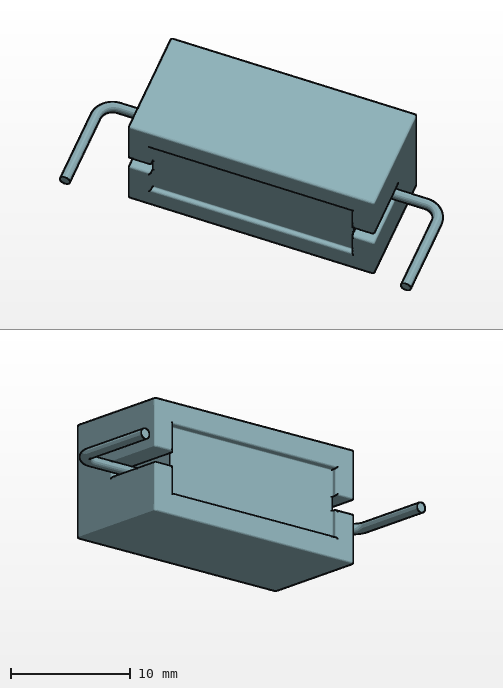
import cadquery as cq

span = 31.38
housing_length = 22.0
housing_height = 10.0
housing_depth = 9.98
wall = 2.0
recess_depth = 0.5
edge_radius = 0.2
recess_floor_radius = 0.1
wire_diameter = 0.9
bend_radius = 1.5
leg_projection = 3.6
slot_height = 1.22
slot_back = 0.5

front_y = -housing_depth / 2
leg_x = (span - wire_diameter) / 2
leg_end_y = front_y - leg_projection
recess_length = housing_length - 2 * wall
recess_height = housing_height - 2 * wall


def block(length, y_min, y_max, height, center_x=0.0):
    """Box centred on Z = 0, spanning y_min to y_max."""
    return cq.Workplane("XY").box(length, y_max - y_min, height).translate((center_x, (y_min + y_max) / 2, 0))


def make_recess():
    """Shape of the front recess, with its floor edges rounded."""
    recess = block(recess_length, front_y, front_y + recess_depth, recess_height)
    return recess.faces(">Y").edges().fillet(recess_floor_radius)


def make_slot(side):
    """Wire slot through one end wall, open to the front face."""
    center_x = side * (housing_length - wall) / 2
    return block(wall, front_y, slot_back, slot_height, center_x)


def make_corner_relief():
    """Band at slot height that leaves the recess floor fillet out where the slots open into the recess."""
    return block(recess_length, front_y, front_y + recess_depth, slot_height)


def make_wire():
    """Straight wire through the housing, with both ends bent forward into legs."""
    bend_x = leg_x - bend_radius
    middle_offset = bend_radius * (1 - 0.5 ** 0.5)
    path = (
        cq.Workplane("XY")
        .moveTo(-leg_x, leg_end_y)
        .lineTo(-leg_x, -bend_radius)
        .threePointArc((-leg_x + middle_offset, -middle_offset), (-bend_x, 0))
        .lineTo(bend_x, 0)
        .threePointArc((leg_x - middle_offset, -middle_offset), (leg_x, -bend_radius))
        .lineTo(leg_x, leg_end_y)
    )
    profile = cq.Workplane("XZ", origin=(-leg_x, leg_end_y, 0)).circle(wire_diameter / 2)
    return profile.sweep(path)


def make_housing():
    """Block with a front recess, an open slot in each end wall and a bore for the wire."""
    housing = block(housing_length, front_y, -front_y, housing_height).cut(make_recess())
    for side in (-1, 1):
        housing = housing.cut(make_slot(side))
    housing = housing.cut(make_corner_relief())
    housing = housing.faces("<X or >X or <Y or >Y or <Z or >Z").edges().fillet(edge_radius)
    bore = cq.Workplane("YZ").circle(wire_diameter / 2).extrude(housing_length / 2, both=True)
    return housing.cut(bore)


housing = make_housing()
wire = make_wire()

result = cq.Compound.makeCompound([*housing.solids().vals(), *wire.solids().vals()])